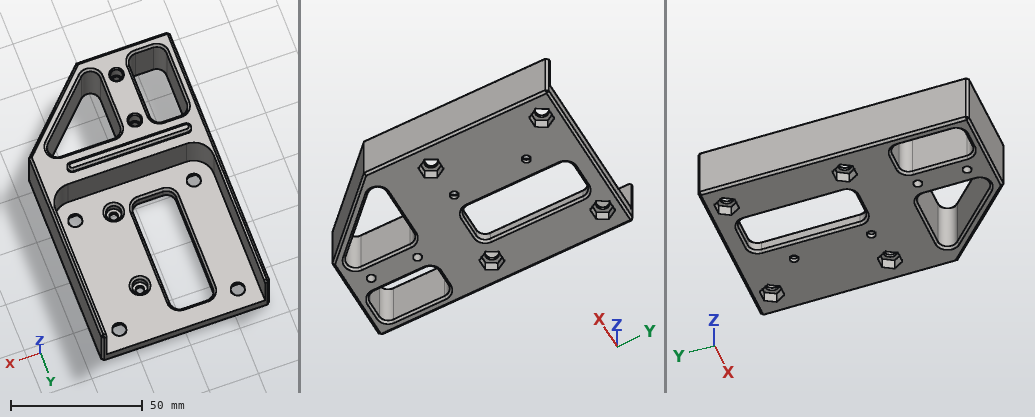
import cadquery as cq
import math

WIDTH = 68.0
LENGTH = 110.0
HEIGHT = 23.3
EDGE = 1.0
CORNER_CUT = 30.5

TRAY_WALL = 2.0
TRAY_SIZE = WIDTH - 2 * TRAY_WALL
TRAY_RADIUS = 8.0
FLOOR = 5.9
TRAY_X = WIDTH / 2
TRAY_Y = LENGTH - TRAY_SIZE / 2

MOUNT_DIAMETER = 5.4
MOUNT_SPACING = 48.0
NUT_FLATS = 8.2
NUT_DEPTH = 4.6
WINDOW_X = 27.4
WINDOW_WIDTH = 17.6
WINDOW_LENGTH = MOUNT_SPACING
SCREW_DIAMETER = 3.4
TRAY_SCREWS = [(44.3, 87.8), (43.1, 55.9)]
TRAY_BORE_DIAMETER = 6.0
TRAY_BORE_DEPTH = 4.0

OPENING_MARGIN = 4.0
OPENING_BACK_Y = 34.0
OPENING_RADIUS = 4.0
LEFT_OPENING_END_X = 19.0
RIGHT_OPENING_START_X = 31.0
FRONT_SCREWS = [(25.0, 30.0), (25.0, 10.0)]
FRONT_BORE_DIAMETER = 4.6
FRONT_BORE_DEPTH = 6.0
FRONT_BORE_EDGE = 0.5

RIDGE_LENGTH = 50.0
RIDGE_WIDTH = 3.8
RIDGE_HEIGHT = 2.0
RIDGE_X = 31.0
RIDGE_Y = 40.2


def make_body():
    """Block with a cut corner, chamfered along its top and bottom rims and square upright edges."""
    block = (
        cq.Workplane("XY")
        .moveTo(0, 0)
        .lineTo(WIDTH - CORNER_CUT, 0)
        .lineTo(WIDTH, CORNER_CUT)
        .lineTo(WIDTH, LENGTH)
        .lineTo(0, LENGTH)
        .close()
        .extrude(HEIGHT)
    )
    return block.edges("<Z or >Z or (|Z and (<X or >Y))").chamfer(EDGE)


def make_tray():
    """Volume of the tray: rounded at the front, running out through the back."""
    return (
        cq.Workplane("XY", origin=(TRAY_X, TRAY_Y, FLOOR))
        .rect(TRAY_SIZE, TRAY_SIZE)
        .extrude(HEIGHT)
        .edges("|Z and <Y")
        .fillet(TRAY_RADIUS)
    )


def make_opening(outline, top):
    """Through opening with rounded corners and a chamfer at both mouths, z = 0 and z = top."""
    cutter = outline.extrude(top).edges("|Z").fillet(OPENING_RADIUS)
    rim = cutter.faces("<Z").wires().val()
    wide_rim = rim.offset2D(EDGE)[0]
    for mouth_z, throat_z in [(0, EDGE), (top, top - EDGE)]:
        mouth = wide_rim.moved(cq.Location((0, 0, mouth_z)))
        throat = rim.moved(cq.Location((0, 0, throat_z)))
        cutter = cutter.union(cq.Workplane(cq.Solid.makeLoft([mouth, throat], True)))
    return cutter


def make_screw_hole(position, top, bore_diameter, bore_depth, bore_edge):
    """Through hole with a counterbore that has a chamfered mouth at height top."""
    hole_radius = SCREW_DIAMETER / 2
    bore_radius = bore_diameter / 2
    bore_floor = top - bore_depth
    return (
        cq.Workplane("XZ")
        .moveTo(0, 0)
        .lineTo(hole_radius, 0)
        .lineTo(hole_radius, bore_floor)
        .lineTo(bore_radius, bore_floor)
        .lineTo(bore_radius, top - bore_edge)
        .lineTo(bore_radius + bore_edge, top)
        .lineTo(0, top)
        .close()
        .revolve(360, (0, 0), (0, 1))
        .translate((*position, 0))
    )


def make_mount_holes():
    """Four holes through the tray floor, each with a hexagonal nut pocket in the underside."""
    centres = (
        cq.Workplane("XY", origin=(TRAY_X, TRAY_Y, 0))
        .rect(MOUNT_SPACING, MOUNT_SPACING, forConstruction=True)
        .vertices()
    )
    nut_corners = NUT_FLATS / math.cos(math.pi / 6)
    holes = centres.circle(MOUNT_DIAMETER / 2).extrude(FLOOR)
    nut_pockets = centres.polygon(6, nut_corners).extrude(NUT_DEPTH)
    return holes.union(nut_pockets)


def window_outline():
    """Rectangle in the tray floor, centred on the tray along Y."""
    return (
        cq.Workplane("XY")
        .center(WINDOW_X, TRAY_Y)
        .rect(WINDOW_WIDTH, WINDOW_LENGTH)
    )


def left_opening_outline():
    """Rectangle in the front-left of the block."""
    return (
        cq.Workplane("XY")
        .moveTo(OPENING_MARGIN, OPENING_MARGIN)
        .lineTo(LEFT_OPENING_END_X, OPENING_MARGIN)
        .lineTo(LEFT_OPENING_END_X, OPENING_BACK_Y)
        .lineTo(OPENING_MARGIN, OPENING_BACK_Y)
        .close()
    )


def right_opening_outline():
    """Right triangle whose long side runs parallel to the cut corner."""
    side_offset = WIDTH - CORNER_CUT - OPENING_MARGIN * math.sqrt(2)
    return (
        cq.Workplane("XY")
        .moveTo(RIGHT_OPENING_START_X, RIGHT_OPENING_START_X - side_offset)
        .lineTo(OPENING_BACK_Y + side_offset, OPENING_BACK_Y)
        .lineTo(RIGHT_OPENING_START_X, OPENING_BACK_Y)
        .close()
    )


def make_ridge():
    """Round-ended bar on top of the block with a chamfered top edge."""
    return (
        cq.Workplane("XY", origin=(RIDGE_X, RIDGE_Y, HEIGHT))
        .slot2D(RIDGE_LENGTH, RIDGE_WIDTH)
        .extrude(RIDGE_HEIGHT)
        .faces(">Z")
        .chamfer(EDGE)
    )


result = make_body().cut(make_tray()).cut(make_mount_holes())
result = result.cut(make_opening(window_outline(), FLOOR))
result = result.cut(make_opening(left_opening_outline(), HEIGHT))
result = result.cut(make_opening(right_opening_outline(), HEIGHT))
for screw in TRAY_SCREWS:
    result = result.cut(make_screw_hole(screw, FLOOR, TRAY_BORE_DIAMETER, TRAY_BORE_DEPTH, EDGE))
for screw in FRONT_SCREWS:
    result = result.cut(
        make_screw_hole(screw, HEIGHT, FRONT_BORE_DIAMETER, FRONT_BORE_DEPTH, FRONT_BORE_EDGE)
    )
result = result.union(make_ridge())